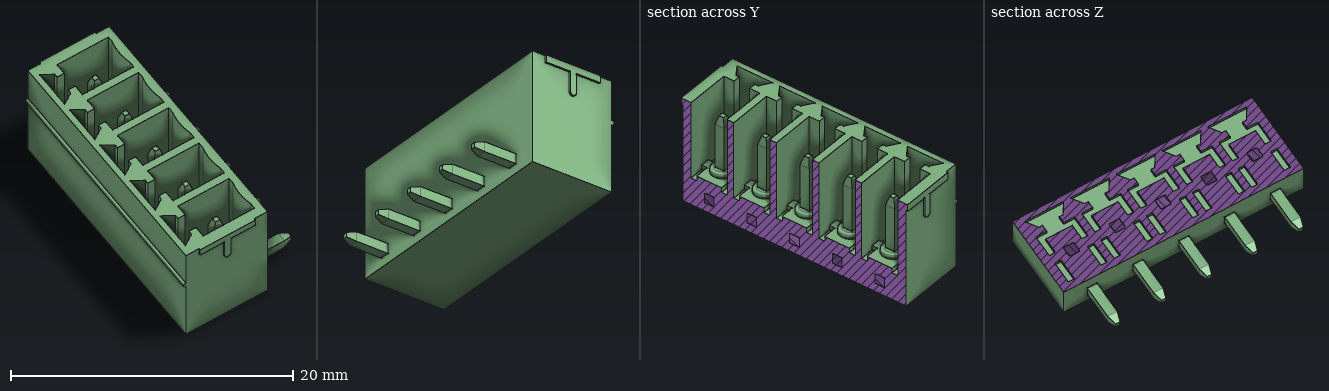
import cadquery as cq


OVERALL_WIDTH = 20.25
KEY_RELIEF = 0.15
HOUSING_WIDTH = OVERALL_WIDTH - 2 * KEY_RELIEF
HOUSING_DEPTH = 7.0
HOUSING_HEIGHT = 9.2

RIB_RADIUS = 0.2
RIB_Z = HOUSING_HEIGHT - 3.42

KEY_BAR_LENGTH = 4.75
KEY_BAR_HEIGHT = 0.6
KEY_STEM_WIDTH = 0.55
KEY_DROP = 2.5

CONTACT_COUNT = 5
PITCH = 3.8

CHAMBER_WIDTH = 3.2
BACK_WALL = 0.6
FRONT_WALL = 0.49
DOVETAIL_DEPTH = 0.91
DOVETAIL_NECK_WIDTH = 2.0
THROAT_DEPTH = 0.6
THROAT_WIDTH = 1.38
FLOOR_Z = 2.43
CHAMBER_HEIGHT = HOUSING_HEIGHT - FLOOR_Z
DOVETAIL_BACK_Y = FRONT_WALL + DOVETAIL_DEPTH
CHAMBER_FRONT_Y = DOVETAIL_BACK_Y + THROAT_DEPTH
CHAMBER_BACK_Y = HOUSING_DEPTH - BACK_WALL
PIN_Y = (CHAMBER_FRONT_Y + CHAMBER_BACK_Y) / 2

PEDESTAL_MARGIN = 0.49
PEDESTAL_WIDTH = CHAMBER_WIDTH - 2 * PEDESTAL_MARGIN
PEDESTAL_FRONT_Y = CHAMBER_FRONT_Y + PEDESTAL_MARGIN
PEDESTAL_HEIGHT = 0.4
CROSSBAR_DEPTH = 0.79
BULGE_RISE = 0.15

COLLAR_DIAMETER = 1.9
COLLAR_ROUNDING = 0.26
COLLAR_HEIGHT = 0.4
COLLAR_BASE_Z = FLOOR_Z + PEDESTAL_HEIGHT

PIN_SIZE = 0.8
PIN_TIP_SIZE = 0.38
PIN_TIP_LENGTH = 0.73
PIN_TOP_Z = 7.81
LEG_Z = 1.2
LEG_REACH = 3.5
LEG_END_Y = HOUSING_DEPTH + LEG_REACH

contact_xs = [(i - (CONTACT_COUNT - 1) / 2) * PITCH for i in range(CONTACT_COUNT)]


def box(width, y_front, y_back, z_bottom, height):
    """A block centred on X = 0."""
    return (
        cq.Workplane("XY")
        .box(width, y_back - y_front, height, centered=(True, False, False))
        .translate((0, y_front, z_bottom))
    )


def make_bar(length):
    """Square bar with a tapered tip, standing on the origin; length includes the tip."""
    shank_length = length - PIN_TIP_LENGTH
    shank = cq.Workplane("XY").rect(PIN_SIZE, PIN_SIZE).extrude(shank_length)
    tip = (
        cq.Workplane("XY", origin=(0, 0, shank_length))
        .rect(PIN_SIZE, PIN_SIZE)
        .workplane(offset=PIN_TIP_LENGTH)
        .rect(PIN_TIP_SIZE, PIN_TIP_SIZE)
        .loft()
    )
    return shank.union(tip)


def make_pin(x):
    """Right-angle pin: an upright contact and a leg to the back, sharing a square corner."""
    contact_bottom_z = LEG_Z - PIN_SIZE / 2
    contact = make_bar(PIN_TOP_Z - contact_bottom_z).translate((0, PIN_Y, contact_bottom_z))
    leg = make_bar(LEG_END_Y - PIN_Y).rotate((0, 0, 0), (1, 0, 0), -90).translate((0, PIN_Y, LEG_Z))
    return contact.union(leg).translate((x, 0, 0))


def make_chamber():
    """The hollow around one contact, centred on X = 0: chamber, throat and dovetail slot."""
    half_chamber = CHAMBER_WIDTH / 2
    half_throat = THROAT_WIDTH / 2
    half_neck = DOVETAIL_NECK_WIDTH / 2
    half_bulge = PEDESTAL_WIDTH / 2
    hollow = (
        cq.Workplane("XY", origin=(0, 0, FLOOR_Z))
        .moveTo(-half_chamber, FRONT_WALL)
        .lineTo(half_chamber, FRONT_WALL)
        .lineTo(half_neck, DOVETAIL_BACK_Y)
        .lineTo(half_throat, DOVETAIL_BACK_Y)
        .lineTo(half_throat, CHAMBER_FRONT_Y)
        .lineTo(half_chamber, CHAMBER_FRONT_Y)
        .lineTo(half_chamber, CHAMBER_BACK_Y)
        .lineTo(half_bulge, CHAMBER_BACK_Y)
        .threePointArc((0, CHAMBER_BACK_Y - BULGE_RISE), (-half_bulge, CHAMBER_BACK_Y))
        .lineTo(-half_chamber, CHAMBER_BACK_Y)
        .lineTo(-half_chamber, CHAMBER_FRONT_Y)
        .lineTo(-half_throat, CHAMBER_FRONT_Y)
        .lineTo(-half_throat, DOVETAIL_BACK_Y)
        .lineTo(-half_neck, DOVETAIL_BACK_Y)
        .close()
        .extrude(CHAMBER_HEIGHT)
    )
    return hollow.cut(make_pedestal())


def make_pedestal():
    """Cross-shaped raised floor with the rounded pin collar, centred on X = 0."""
    upright = box(PEDESTAL_WIDTH, PEDESTAL_FRONT_Y, CHAMBER_BACK_Y, FLOOR_Z, PEDESTAL_HEIGHT)
    half_crossbar = CROSSBAR_DEPTH / 2
    crossbar = box(CHAMBER_WIDTH, PIN_Y - half_crossbar, PIN_Y + half_crossbar, FLOOR_Z, PEDESTAL_HEIGHT)
    collar = (
        cq.Workplane("XY", origin=(0, PIN_Y, COLLAR_BASE_Z))
        .circle(COLLAR_DIAMETER / 2)
        .extrude(COLLAR_HEIGHT)
        .faces(">Z")
        .edges()
        .fillet(COLLAR_ROUNDING)
    )
    return upright.union(crossbar).union(collar)


def make_keys():
    """T-shaped keys standing out of both ends, made as one bar through the whole width."""
    mid_y = HOUSING_DEPTH / 2
    half_bar = KEY_BAR_LENGTH / 2
    half_stem = KEY_STEM_WIDTH / 2
    bar_bottom_z = HOUSING_HEIGHT - KEY_BAR_HEIGHT
    stem_end_z = HOUSING_HEIGHT - KEY_DROP
    stem_round_z = stem_end_z + half_stem
    return (
        cq.Workplane("YZ", origin=(-OVERALL_WIDTH / 2, 0, 0))
        .moveTo(mid_y - half_bar, HOUSING_HEIGHT)
        .lineTo(mid_y - half_bar, bar_bottom_z)
        .lineTo(mid_y - half_stem, bar_bottom_z)
        .lineTo(mid_y - half_stem, stem_round_z)
        .threePointArc((mid_y, stem_end_z), (mid_y + half_stem, stem_round_z))
        .lineTo(mid_y + half_stem, bar_bottom_z)
        .lineTo(mid_y + half_bar, bar_bottom_z)
        .lineTo(mid_y + half_bar, HOUSING_HEIGHT)
        .close()
        .extrude(OVERALL_WIDTH)
    )


def make_rib():
    """Round bar along the front face; its front half stands out of the housing."""
    return (
        cq.Workplane("YZ", origin=(-HOUSING_WIDTH / 2, 0, 0))
        .center(0, RIB_Z)
        .circle(RIB_RADIUS)
        .extrude(HOUSING_WIDTH)
    )


def make_housing(pins):
    block = box(HOUSING_WIDTH, 0, HOUSING_DEPTH, 0, HOUSING_HEIGHT)
    housing = block.union(make_keys()).union(make_rib())
    chamber = make_chamber()
    for x in contact_xs:
        housing = housing.cut(chamber.translate((x, 0, 0)))
    for pin in pins:
        housing = housing.cut(pin)
    return housing


pins = [make_pin(x) for x in contact_xs]
housing = make_housing(pins)

result = cq.Compound.makeCompound([housing.solids().val(), *[pin.solids().val() for pin in pins]])